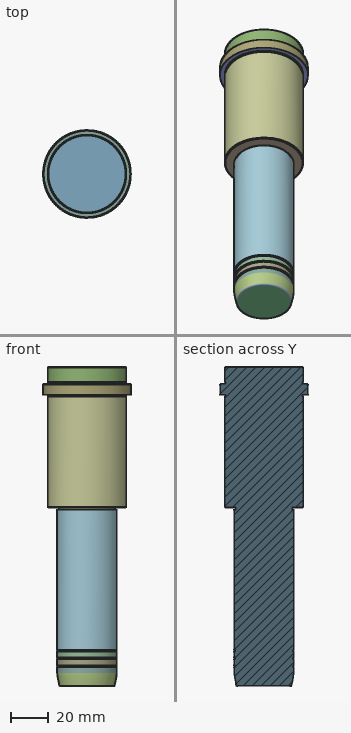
import cadquery as cq

total_length = 170.0
flange_diameter = 47.0
body_diameter = 42.0
shaft_diameter = 32.0

body_bottom = 95.0
flange_bottom = 155.0
flange_top = 161.0
rim_chamfer = 0.5
flange_chamfer = 0.5
body_bottom_chamfer = 0.5

relief_width = 1.0
relief_depth = 0.5
neck_width = 1.0
neck_depth = 0.8

groove_count = 3
groove_pitch = 4.0
groove_width = 1.0
groove_depth = 0.5
lowest_groove_bottom = 10.2

lead_height = 7.1
tip_diameter = 29.2
lead_bulge = 0.2
tip_fillet = 0.7


def cylinder(diameter, bottom, top):
    """Solid cylinder on the Z axis between two heights."""
    return cq.Workplane("XY").workplane(offset=bottom).circle(diameter / 2).extrude(top - bottom)


def square_groove(diameter, depth, bottom, width):
    """Square-sided ring to remove from a cylinder of the given diameter."""
    floor = cylinder(diameter - 2 * depth, bottom, bottom + width)
    return cylinder(diameter, bottom, bottom + width).cut(floor)


def vee_groove(diameter, depth, bottom, width):
    """V-shaped ring to remove from a cylinder of the given diameter."""
    radius = diameter / 2
    return (
        cq.Workplane("XZ")
        .moveTo(radius, bottom)
        .lineTo(radius - depth, bottom + width / 2)
        .lineTo(radius, bottom + width)
        .close()
        .revolve(360, (0, 0), (0, 1))
    )


def lead_in():
    """Revolved nose that narrows along a shallow arc to the rounded tip."""
    shaft_radius = shaft_diameter / 2
    tip_radius = tip_diameter / 2
    arc_middle = ((shaft_radius + tip_radius) / 2 + lead_bulge, lead_height / 2)
    nose = (
        cq.Workplane("XZ")
        .lineTo(tip_radius, 0)
        .threePointArc(arc_middle, (shaft_radius, lead_height))
        .lineTo(0, lead_height)
        .close()
        .revolve(360, (0, 0), (0, 1))
    )
    return nose.faces("<Z").edges().fillet(tip_fillet)


shaft = cylinder(shaft_diameter, lead_height, body_bottom)
body = cylinder(body_diameter, body_bottom, total_length)
body = body.faces(">Z").edges().chamfer(rim_chamfer)
body = body.faces("<Z").edges().chamfer(body_bottom_chamfer)
flange = cylinder(flange_diameter, flange_bottom, flange_top)
flange = flange.faces(">Z").edges().chamfer(flange_chamfer)

for relief_bottom in (flange_bottom - relief_width, flange_top):
    body = body.cut(vee_groove(body_diameter, relief_depth, relief_bottom, relief_width))

shaft = shaft.cut(square_groove(shaft_diameter, neck_depth, body_bottom - neck_width, neck_width))
for index in range(groove_count):
    groove_bottom = lowest_groove_bottom + index * groove_pitch
    shaft = shaft.cut(vee_groove(shaft_diameter, groove_depth, groove_bottom, groove_width))

result = lead_in().union(shaft).union(body).union(flange)